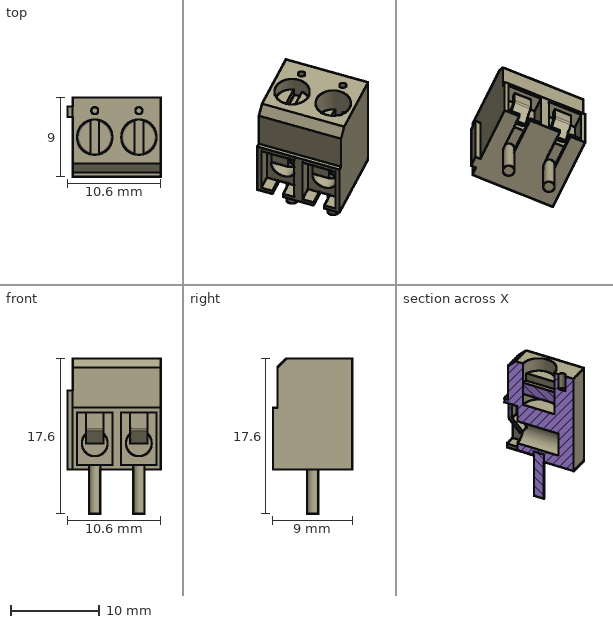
import cadquery as cq
import math


pole_pitch = 5.0
pole_count = 2
housing_width = pole_count * pole_pitch
housing_depth = 9.0
overall_height = 17.6
pin_length_below = 5.0
housing_height = overall_height - pin_length_below
front_step_depth = 0.5
front_step_height = 7.04
top_chamfer = 1.0

rib_thickness = 0.6
rib_width = 1.23
rib_height = 9.0
rib_back_offset = 1.0

wall = 0.51
window_width = 4.0
window_top = 6.5
window_depth = 1.72
wire_hole_diameter = 2.92
wire_hole_height = 3.0
wire_hole_end = 7.0

pin_diameter = 1.3
pin_insertion = 1.0
axis_y = housing_depth / 2

screw_diameter = 4.0
screw_length = 2.6
screw_edge_radius = 0.18
screw_slot_width = 1.0
screw_slot_depth = 1.0
bore_bottom = 7.0
screw_recesses = [1.6, 3.0]

probe_hole_diameter = 0.8
probe_hole_depth = 2.0
probe_hole_back_offset = 1.5
probe_hole_y = housing_depth - probe_hole_back_offset
probe_bottom = housing_height - probe_hole_depth

leaf_width = 2.0
leaf_bend_angle = math.radians(45)
leaf_thickness = 0.5
leaf_front = 0.56
leaf_bend_height = 4.5
leaf_bend_radius = 0.44
leaf_tip_height = 3.0

pole_centers = [(i + 0.5) * pole_pitch for i in range(pole_count)]


def box(x, y, z, dx, dy, dz):
    """Box with its lowest corner at (x, y, z)."""
    return cq.Workplane("XY").box(dx, dy, dz, centered=False).translate((x, y, z))


def cylinder(x, y, z, diameter, height):
    """Upright cylinder with its base centre at (x, y, z)."""
    return cq.Workplane("XY").circle(diameter / 2).extrude(height).translate((x, y, z))


def make_housing_block():
    """Stepped and chamfered profile, with the keying rib."""
    block = (
        cq.Workplane("YZ")
        .moveTo(0, 0)
        .lineTo(housing_depth, 0)
        .lineTo(housing_depth, housing_height)
        .lineTo(front_step_depth + top_chamfer, housing_height)
        .lineTo(front_step_depth, housing_height - top_chamfer)
        .lineTo(front_step_depth, front_step_height)
        .lineTo(0, front_step_height)
        .close()
        .extrude(housing_width)
    )
    rib_y = housing_depth - rib_back_offset - rib_width
    return block.union(box(-rib_thickness, rib_y, 0, rib_thickness, rib_width, rib_height))


def wire_entry(x):
    """Rectangular window with a round wire hole behind it."""
    window = box(x - window_width / 2, 0, wall, window_width, window_depth, window_top - wall)
    hole = (
        cq.Workplane("XZ")
        .center(x, wire_hole_height)
        .circle(wire_hole_diameter / 2)
        .extrude(-wire_hole_end)
    )
    return window.union(hole)


def floor_slot(x):
    """Slot through the window floor, running back to the pin axis."""
    return box(x - pin_diameter / 2, 0, 0, pin_diameter, axis_y, wall)


def make_pin(x):
    return cylinder(x, axis_y, -pin_length_below, pin_diameter, pin_length_below + pin_insertion)


def make_screw(x, recess):
    """Slotted screw with a rounded top edge."""
    top = housing_height - recess
    screw = cylinder(x, axis_y, top - screw_length, screw_diameter, screw_length)
    screw = screw.faces(">Z").edges().fillet(screw_edge_radius)
    slot = box(
        x - screw_slot_width / 2, axis_y - screw_diameter / 2, top - screw_slot_depth,
        screw_slot_width, screw_diameter, screw_slot_depth,
    )
    return screw.cut(slot)


def make_leaf(x):
    """Strip hanging from the window ceiling, its lower end bent back and down."""
    half_bend = leaf_bend_angle / 2
    back = leaf_front + leaf_thickness
    inner_bend_height = leaf_bend_height + leaf_thickness * math.tan(half_bend)
    tip_y = leaf_front + leaf_bend_height - leaf_tip_height
    tip_offset = leaf_thickness * math.sin(leaf_bend_angle)
    leaf = (
        cq.Workplane("YZ")
        .moveTo(leaf_front, window_top)
        .lineTo(leaf_front, leaf_bend_height)
        .lineTo(tip_y, leaf_tip_height)
        .lineTo(tip_y + tip_offset, leaf_tip_height + tip_offset)
        .lineTo(back, inner_bend_height)
        .lineTo(back, window_top)
        .close()
        .extrude(leaf_width)
        .translate((x - leaf_width / 2, 0, 0))
    )
    outer_bend = cq.selectors.NearestToPointSelector((x, leaf_front, leaf_bend_height))
    return leaf.edges("|X").edges(outer_bend).fillet(leaf_bend_radius)


pins = [make_pin(x) for x in pole_centers]
screws = [make_screw(x, recess) for x, recess in zip(pole_centers, screw_recesses)]
leaves = [make_leaf(x) for x in pole_centers]

housing = make_housing_block()
for x in pole_centers:
    housing = housing.cut(wire_entry(x))
    housing = housing.cut(floor_slot(x))
    housing = housing.cut(cylinder(x, axis_y, 0, pin_diameter, pin_insertion))
    housing = housing.cut(cylinder(x, axis_y, bore_bottom, screw_diameter, housing_height - bore_bottom))
    housing = housing.cut(cylinder(x, probe_hole_y, probe_bottom, probe_hole_diameter, probe_hole_depth))
for leaf in leaves:
    housing = housing.cut(leaf)

bodies = [housing, *screws, *pins, *leaves]
result = cq.Compound.makeCompound([body.solids().val() for body in bodies])